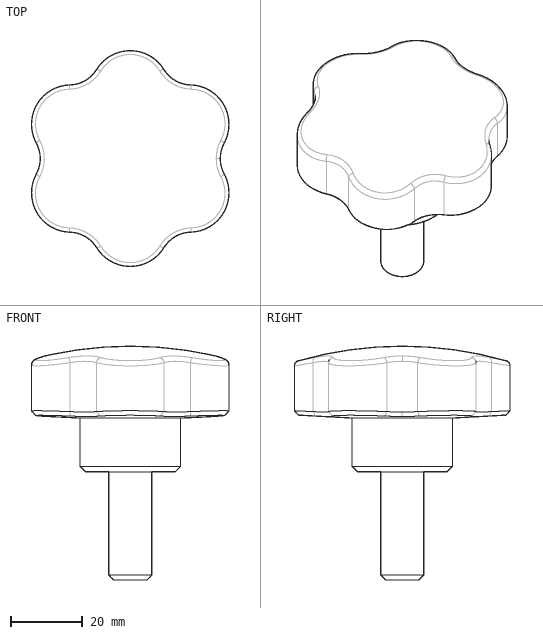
import cadquery as cq
import math

total_height = 65.0
hub_bottom = 30.0
underside_low_point = 44.7

stud_diameter = 12.0
stud_chamfer = 1.35
hub_diameter = 28.0
hub_chamfer = 1.55

lobe_count = 6
head_diameter = 60.0
lobe_radius = 11.0
valley_radius = 9.0
crown_radius = 105.0
underside_radius = 390.0
top_edge_fillet = 1.5
bottom_edge_chamfer = 1.2

lobe_center_distance = head_diameter / 2 - lobe_radius
lobe_pitch = 2 * math.pi / lobe_count
half_pitch = lobe_pitch / 2

valley_center_distance = lobe_center_distance * math.cos(half_pitch) + math.sqrt(
    (lobe_radius + valley_radius) ** 2 - (lobe_center_distance * math.sin(half_pitch)) ** 2
)


def polar(radius, angle):
    return (radius * math.cos(angle), radius * math.sin(angle))


def tangent_point(lobe_angle, valley_angle):
    """Point where a lobe arc meets a neighbouring valley arc."""
    lobe = polar(lobe_center_distance, lobe_angle)
    valley = polar(valley_center_distance, valley_angle)
    share = lobe_radius / (lobe_radius + valley_radius)
    return tuple(a + share * (b - a) for a, b in zip(lobe, valley))


def lobed_outline():
    """Closed outline of alternating lobes and valleys, with a lobe on +Y."""
    first_lobe = math.pi / 2
    outline = cq.Workplane("XY").moveTo(*tangent_point(first_lobe, first_lobe - half_pitch))
    for index in range(lobe_count):
        lobe_angle = first_lobe + index * lobe_pitch
        valley_angle = lobe_angle + half_pitch
        next_lobe_angle = lobe_angle + lobe_pitch
        outline = outline.threePointArc(
            polar(head_diameter / 2, lobe_angle), tangent_point(lobe_angle, valley_angle)
        )
        outline = outline.threePointArc(
            polar(valley_center_distance - valley_radius, valley_angle),
            tangent_point(next_lobe_angle, valley_angle),
        )
    return outline.close()


def domed_envelope():
    """Turned body with the crowned top and the slightly domed underside."""
    radius = head_diameter / 2 + 0.65

    def arc_rise(arc_radius, distance):
        return arc_radius - math.sqrt(arc_radius**2 - distance**2)

    def underside(distance):
        return (distance, underside_low_point + arc_rise(underside_radius, distance))

    def crown(distance):
        return (distance, total_height - arc_rise(crown_radius, distance))

    return (
        cq.Workplane("XZ")
        .moveTo(*underside(0))
        .threePointArc(underside(radius / 2), underside(radius))
        .lineTo(*crown(radius))
        .threePointArc(crown(radius / 2), crown(0))
        .close()
        .revolve(360, (0, 0, 0), (0, 1, 0))
    )


def grip_head():
    head = lobed_outline().extrude(total_height).intersect(domed_envelope())
    head = head.faces(">Z").edges().fillet(top_edge_fillet)
    return head.faces("<Z").edges().chamfer(bottom_edge_chamfer)


def chamfered_shaft(diameter, bottom, top, chamfer):
    shaft = cq.Workplane("XY").workplane(offset=bottom).circle(diameter / 2).extrude(top - bottom)
    return shaft.faces("<Z").chamfer(chamfer)


head_core = (underside_low_point + total_height) / 2
hub = chamfered_shaft(hub_diameter, hub_bottom, head_core, hub_chamfer)
stud = chamfered_shaft(stud_diameter, 0, head_core, stud_chamfer)

result = grip_head().union(hub).union(stud)